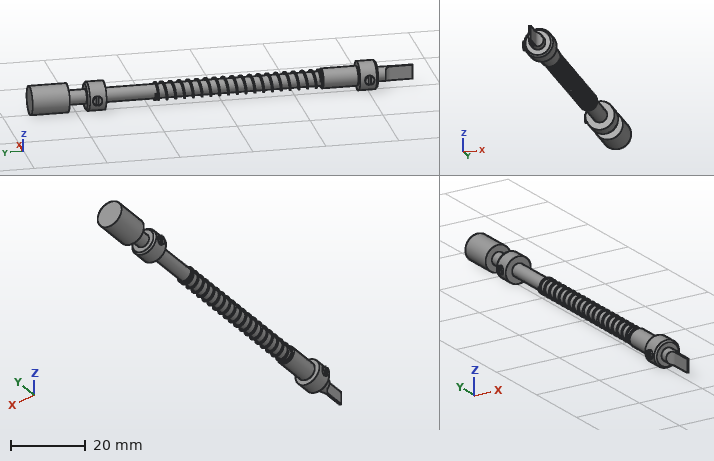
import cadquery as cq
import math

total_length = 105.0

rod_diameter = 4.0
blade_thickness = 0.5
blade_length = 6.0

knob_diameter = 8.0
knob_length = 10.2

collar_diameter = 8.0
collar_width = 5.0
collar_chamfer = 0.5
rear_collar_start = 15.2
front_collar_start = 89.9

screw_diameter = 2.5
screw_protrusion = 0.5
screw_slot_width = 0.6
screw_slot_depth = 0.5

sleeve_diameter = 5.5
sleeve_length = 10.1
sleeve_chamfer = 0.3
sleeve_start = front_collar_start - sleeve_length

wire_diameter = 0.4
spring_clearance = 0.1
spring_start = 33.9
spring_turns = 20
rear_closed_turns = 1
front_closed_turns = 0.5
closed_pitch = 0.5
pitch_blend = 0.2
points_per_turn = 8


def cylinder_along_shaft(diameter, start, length):
    """Cylinder about the shaft axis, from one station toward the blade."""
    return cq.Workplane("XZ", origin=(0, -start, 0)).circle(diameter / 2).extrude(length)


def make_knob():
    return cylinder_along_shaft(knob_diameter, 0, knob_length)


def make_rod():
    """Round rod from the knob's face, hollowed on both sides into a thin flat blade."""
    rod_radius = rod_diameter / 2
    half_blade = blade_thickness / 2
    shoulder_radius = rod_radius - half_blade
    blade_root = -(total_length - blade_length)
    rod = cylinder_along_shaft(rod_diameter, knob_length, total_length - knob_length)
    shoulder_mid = (
        rod_radius - shoulder_radius * math.sqrt(0.5),
        blade_root + shoulder_radius * math.sqrt(0.5),
    )
    side_relief = (
        cq.Workplane("XY")
        .moveTo(rod_radius, blade_root + shoulder_radius)
        .threePointArc(shoulder_mid, (half_blade, blade_root))
        .lineTo(half_blade, -total_length)
        .lineTo(rod_radius, -total_length)
        .close()
        .extrude(rod_radius, both=True)
    )
    return rod.cut(side_relief).cut(side_relief.mirror("YZ"))


def make_collar(start, chamfered_face):
    """Ring on the rod, chamfered at its outward end, with a radial screw hole on the -X side."""
    ring = cylinder_along_shaft(collar_diameter, start, collar_width)
    ring = ring.faces(chamfered_face).edges().chamfer(collar_chamfer)
    bore = cylinder_along_shaft(rod_diameter, start, collar_width)
    screw_hole = (
        cq.Workplane("YZ", origin=(0, -start - collar_width / 2, 0))
        .circle(screw_diameter / 2)
        .extrude(-collar_diameter)
    )
    return ring.cut(bore).cut(screw_hole)


def make_set_screw(collar_start):
    """Slotted screw that reaches from outside the collar to the rod's surface."""
    middle = -collar_start - collar_width / 2
    head_x = -collar_diameter / 2 - screw_protrusion
    shank_length = -rod_diameter / 2 - head_x
    shank = (
        cq.Workplane("YZ", origin=(head_x, middle, 0))
        .circle(screw_diameter / 2)
        .extrude(shank_length)
    )
    slot = (
        cq.Workplane("YZ", origin=(head_x, middle, 0))
        .rect(screw_slot_width, screw_diameter)
        .extrude(screw_slot_depth)
    )
    return shank.cut(slot)


def make_sleeve():
    sleeve = cylinder_along_shaft(sleeve_diameter, sleeve_start, sleeve_length)
    sleeve = sleeve.faces("<Y or >Y").edges().chamfer(sleeve_chamfer)
    return sleeve.cut(cylinder_along_shaft(rod_diameter, sleeve_start, sleeve_length))


def smooth_ramp(turn):
    """Zero before turn 0, then rising one per turn, with a rounded corner between."""
    return (turn + math.hypot(turn, pitch_blend)) / 2


def open_turns_at(turn):
    """Number of open turns wound by the given turn."""
    last_open_turn = spring_turns - front_closed_turns
    return smooth_ramp(turn - rear_closed_turns) - smooth_ramp(turn - last_open_turn)


def make_spring():
    """Right-handed coil spring with closed turns at both ends."""
    coil_radius = (rod_diameter + wire_diameter) / 2 + spring_clearance
    wire_start = spring_start + wire_diameter / 2
    wire_travel = sleeve_start - spring_clearance - spring_start - wire_diameter
    first_open_turn = open_turns_at(0)
    open_turn_count = open_turns_at(spring_turns) - first_open_turn
    extra_pitch = (wire_travel - closed_pitch * spring_turns) / open_turn_count

    points = []
    for step in range(spring_turns * points_per_turn + 1):
        turn = step / points_per_turn
        angle = math.pi + 2 * math.pi * turn
        advance = closed_pitch * turn + extra_pitch * (open_turns_at(turn) - first_open_turn)
        points.append(
            cq.Vector(
                coil_radius * math.cos(angle),
                -wire_start - advance,
                coil_radius * math.sin(angle),
            )
        )
    path = cq.Edge.makeSpline(points)
    wire_end = cq.Plane(origin=points[0], xDir=(1, 0, 0), normal=path.tangentAt(0))
    axis_edge = cq.Edge.makeLine(cq.Vector(0, 0, 0), cq.Vector(0, -total_length, 0))
    axis_line = cq.Wire.assembleEdges([axis_edge])
    return (
        cq.Workplane(wire_end)
        .circle(wire_diameter / 2)
        .sweep(cq.Workplane(path), auxSpine=cq.Workplane(axis_line))
    )


knob = make_knob()
rod = make_rod()
sleeve = make_sleeve()
spring = make_spring()
rear_collar = make_collar(rear_collar_start, ">Y")
front_collar = make_collar(front_collar_start, "<Y")
set_screws = [make_set_screw(start).val() for start in (rear_collar_start, front_collar_start)]

result = cq.Compound.makeCompound(
    [
        knob.val(),
        rod.val(),
        sleeve.val(),
        spring.val(),
        rear_collar.val(),
        front_collar.val(),
        *set_screws,
    ]
)